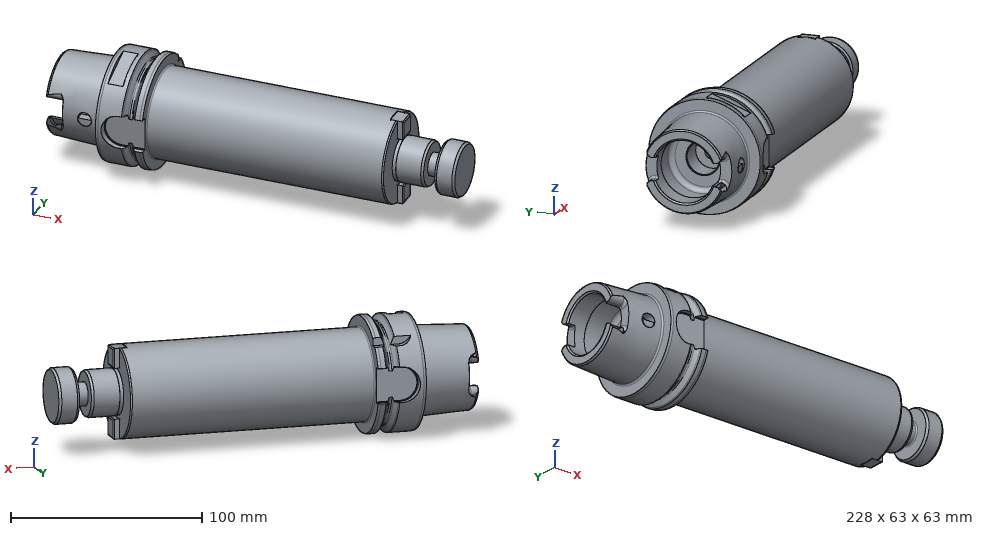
import cadquery as cq
import math

FLANGE_X = 32.0
FLANGE_END_X = 58.0
BODY_END_X = 192.0
PILOT_END_X = 209.5
HEAD_X = 216.5
TOTAL_LENGTH = 228.0

CLEARANCE = 2.3

SHANK_TIP_R = 45.5 / 2
SHANK_BASE_R = 48.5 / 2
SHANK_ROOT_FILLET = 1.0
TIP_CHAMFER_LENGTH = 1.1
TIP_CHAMFER_DEPTH = 0.7

FLANGE_R = 31.5
FLANGE_CHAMFER_LENGTH = 1.48
FLANGE_CHAMFER_DEPTH = 0.35
GROOVE_CENTER_X = 50.0
GROOVE_FLOOR_R = 27.4
GROOVE_FLOOR_WIDTH = 2.3
GROOVE_FLANK_ANGLE = 30.0
GROOVE_FLOOR_FILLET = 1.0
GROOVE_EDGE_CHAMFER = 0.57

BODY_R = 50.0 / 2
BODY_ROOT_FILLET = 0.7
BODY_CHAMFER_LENGTH = 1.0
BODY_CHAMFER_DEPTH = 0.35
PILOT_R = 25.3 / 2
PILOT_NECK_R = 24.9 / 2
PILOT_NECK_LENGTH = 2.0
PILOT_CHAMFER_LENGTH = 1.4
PILOT_CHAMFER_DEPTH = 0.7

LIP_R = 34.0 / 2
LIP_CHAMFER = 1.0
LIP_END_X = 12.3
CAVITY_R = 18.5
CAVITY_END_X = 29.6
CAVITY_FLOOR_FILLET = 3.0
SOCKET_R = 18.0 / 2
SOCKET_MOUTH_R = 19.0 / 2
SOCKET_END_X = 43.3
COOLANT_BORE_R = 8.0 / 2

SLOT_WIDTH = 12.5
SLOT_CORNER_R = 1.48
SLOT_MOUTH_R = 3.2
FRONT_SLOT_DEPTH = 10.0
BACK_SLOT_DEPTH = 5.7

ACCESS_HOLE_X = 22.8
ACCESS_HOLE_D = 8.0
ACCESS_SPOT_DISTANCE = 23.3

KEYWAY_FLOOR_Y = 26.5
KEYWAY_WIDTH = 18.0
KEYWAY_MOUTH_WIDTH = 19.0
KEYWAY_CENTER_X = 44.7

FLAT_X = 35.0
FLAT_LENGTH = 8.5
FLAT_CHORD = 23.3
FLAT_TILT = 21.6

NOTCH_WALL_Y = 20.3
NOTCH_FLOOR_Z = 19.8
NOTCH_RUNOUT_R = 8.0
NOTCH_RUNOUT_X = 44.2

KEY_X = 187.9
KEY_END_X = 195.5
KEY_WIDTH = 9.8
KEY_BOTTOM_Z = 13.7
KEY_TOP_Z = 24.5
KEY_CHAMFER = 0.7

SCREW_SHANK_R = 12.8 / 2
SCREW_TIP_X = 182.5
HEAD_R = 29.9 / 2
HEAD_CHAMFER_LENGTH = 1.4
HEAD_CHAMFER_DEPTH = 1.0
HEAD_ROOT_FILLET = 0.7


def revolve_about_x(outline):
    """Turn a closed XY outline a full turn about the X axis."""
    return outline.close().revolve(360, (0, 0, 0), (1, 0, 0))


def rod(radius, x_start, x_end):
    return cq.Workplane("YZ").workplane(offset=x_start).circle(radius).extrude(x_end - x_start)


def box_between(x_range, y_range, z_range):
    size = [high - low for low, high in (x_range, y_range, z_range)]
    corner = (x_range[0], y_range[0], z_range[0])
    return cq.Workplane("XY").box(*size, centered=False).translate(corner)


def turned_blank():
    """Solid of revolution: shank, flange, body and pilot."""
    root = SHANK_ROOT_FILLET
    return revolve_about_x(
        cq.Workplane("XY")
        .moveTo(0, 0)
        .lineTo(0, SHANK_TIP_R - TIP_CHAMFER_DEPTH)
        .lineTo(TIP_CHAMFER_LENGTH, SHANK_TIP_R)
        .lineTo(FLANGE_X - root, SHANK_BASE_R)
        .radiusArc((FLANGE_X, SHANK_BASE_R + root), -root)
        .lineTo(FLANGE_X, FLANGE_R - FLANGE_CHAMFER_DEPTH)
        .lineTo(FLANGE_X + FLANGE_CHAMFER_LENGTH, FLANGE_R)
        .lineTo(FLANGE_END_X - FLANGE_CHAMFER_LENGTH, FLANGE_R)
        .lineTo(FLANGE_END_X, FLANGE_R - FLANGE_CHAMFER_DEPTH)
        .lineTo(FLANGE_END_X, BODY_R + BODY_ROOT_FILLET)
        .radiusArc((FLANGE_END_X + BODY_ROOT_FILLET, BODY_R), -BODY_ROOT_FILLET)
        .lineTo(BODY_END_X - BODY_CHAMFER_LENGTH, BODY_R)
        .lineTo(BODY_END_X, BODY_R - BODY_CHAMFER_DEPTH)
        .lineTo(BODY_END_X, PILOT_NECK_R)
        .lineTo(BODY_END_X + PILOT_NECK_LENGTH, PILOT_NECK_R)
        .lineTo(BODY_END_X + PILOT_NECK_LENGTH, PILOT_R)
        .lineTo(PILOT_END_X - PILOT_CHAMFER_LENGTH, PILOT_R)
        .lineTo(PILOT_END_X, PILOT_R - PILOT_CHAMFER_DEPTH)
        .lineTo(PILOT_END_X, 0)
    )


def flange_groove():
    """V-groove ring with chamfered rims and filleted floor corners."""
    flank_angle = math.radians(GROOVE_FLANK_ANGLE)
    floor_half = GROOVE_FLOOR_WIDTH / 2
    rim_r = FLANGE_R - GROOVE_EDGE_CHAMFER
    rim_half = floor_half + (rim_r - GROOVE_FLOOR_R) * math.tan(flank_angle)
    top_half = rim_half + GROOVE_EDGE_CHAMFER

    tangent = GROOVE_FLOOR_FILLET * math.tan((math.pi / 2 - flank_angle) / 2)
    fillet_floor_half = floor_half - tangent
    fillet_flank_half = floor_half + tangent * math.sin(flank_angle)
    fillet_flank_r = GROOVE_FLOOR_R + tangent * math.cos(flank_angle)

    def point(offset, radius):
        return (GROOVE_CENTER_X + offset, radius)

    return revolve_about_x(
        cq.Workplane("XY")
        .moveTo(*point(-fillet_floor_half, GROOVE_FLOOR_R))
        .lineTo(*point(fillet_floor_half, GROOVE_FLOOR_R))
        .radiusArc(point(fillet_flank_half, fillet_flank_r), -GROOVE_FLOOR_FILLET)
        .lineTo(*point(rim_half, rim_r))
        .lineTo(*point(top_half, FLANGE_R))
        .lineTo(*point(-top_half, FLANGE_R))
        .lineTo(*point(-rim_half, rim_r))
        .lineTo(*point(-fillet_flank_half, fillet_flank_r))
        .radiusArc(point(-fillet_floor_half, GROOVE_FLOOR_R), -GROOVE_FLOOR_FILLET)
    )


def clamping_cavity():
    """Undercut cavity behind the shank lip, with the pipe socket in its floor."""
    fillet = CAVITY_FLOOR_FILLET
    return revolve_about_x(
        cq.Workplane("XY")
        .moveTo(0, 0)
        .lineTo(0, LIP_R + LIP_CHAMFER)
        .lineTo(LIP_CHAMFER, LIP_R)
        .lineTo(LIP_END_X, LIP_R)
        .lineTo(LIP_END_X, CAVITY_R)
        .lineTo(CAVITY_END_X - fillet, CAVITY_R)
        .radiusArc((CAVITY_END_X, CAVITY_R - fillet), fillet)
        .lineTo(CAVITY_END_X, SOCKET_MOUTH_R)
        .lineTo(CAVITY_END_X + SOCKET_MOUTH_R - SOCKET_R, SOCKET_R)
        .lineTo(SOCKET_END_X, SOCKET_R)
        .lineTo(SOCKET_END_X, 0)
    )


def drive_slot(depth, side):
    """Slot cutter with rounded mouths and corners; side is -1 for -Y and +1 for +Y.

    Each mouth round is tangent to the slot wall and to the shank surface, so its
    center lies one round radius inside both of them.
    """
    shank_r = SHANK_TIP_R + (SHANK_BASE_R - SHANK_TIP_R) * depth / FLANGE_X
    half = SLOT_WIDTH / 2
    center_z = half + SLOT_MOUTH_R
    center_radius = shank_r - SLOT_MOUTH_R
    center_y = math.sqrt(center_radius**2 - center_z**2)
    surface_angle = math.atan2(center_z, center_y)
    tangent_y = shank_r * math.cos(surface_angle)
    tangent_z = shank_r * math.sin(surface_angle)
    end_y = tangent_y - CLEARANCE * math.sin(surface_angle)
    end_z = tangent_z + CLEARANCE * math.cos(surface_angle)
    outer_y = shank_r + CLEARANCE
    cutter = (
        cq.Workplane("YZ", origin=(-CLEARANCE, 0, 0))
        .moveTo(0, -half)
        .lineTo(0, half)
        .lineTo(center_y, half)
        .radiusArc((tangent_y, tangent_z), -SLOT_MOUTH_R)
        .lineTo(end_y, end_z)
        .lineTo(outer_y, end_z)
        .lineTo(outer_y, -end_z)
        .lineTo(end_y, -end_z)
        .lineTo(tangent_y, -tangent_z)
        .radiusArc((center_y, -half), -SLOT_MOUTH_R)
        .close()
        .extrude(depth + CLEARANCE)
    )
    cutter = cutter.faces(">X").edges().fillet(SLOT_CORNER_R)
    return cutter if side > 0 else cutter.mirror("XZ")


def access_hole():
    """Half-round opening into the cavity, above a shallow spot-faced lower half."""
    plane = cq.Workplane("XZ", origin=(ACCESS_HOLE_X, 0, 0))
    opening = plane.circle(ACCESS_HOLE_D / 2).extrude(FLANGE_R)
    upper_half = box_between((0, FLANGE_X), (-FLANGE_R, 0), (0, ACCESS_HOLE_D))
    spot_plane = plane.workplane(offset=ACCESS_SPOT_DISTANCE)
    spot = spot_plane.circle(ACCESS_HOLE_D / 2).extrude(CLEARANCE)
    return opening.intersect(upper_half).union(spot)


def keyway(side):
    """Round-ended keyway with a slightly wider stepped mouth, open toward the body."""
    step = (KEYWAY_MOUTH_WIDTH - KEYWAY_WIDTH) / 2

    def pocket(width, floor_y):
        depth = FLANGE_R + CLEARANCE - floor_y
        plane = cq.Workplane("XZ", origin=(KEYWAY_CENTER_X, floor_y, 0))
        disc = plane.circle(width / 2).extrude(-depth)
        length = FLANGE_END_X - KEYWAY_CENTER_X
        channel = plane.center(length / 2, 0).rect(length, width).extrude(-depth)
        return disc.union(channel)

    cutter = pocket(KEYWAY_WIDTH, KEYWAY_FLOOR_Y).union(
        pocket(KEYWAY_MOUTH_WIDTH, KEYWAY_FLOOR_Y + step)
    )
    return cutter if side > 0 else cutter.mirror("XZ")


def label_flat():
    """Flat cut along a chord of the flange, tilted toward -Y."""
    chord_height = math.sqrt(FLANGE_R**2 - (FLAT_CHORD / 2) ** 2)
    cutter = box_between(
        (FLAT_X, FLAT_X + FLAT_LENGTH),
        (-FLAT_CHORD, FLAT_CHORD),
        (chord_height, FLANGE_R + CLEARANCE),
    )
    return cutter.rotate((0, 0, 0), (1, 0, 0), FLAT_TILT)


def orientation_notch():
    """Step notch with an upright wall, a level floor and a curved run-out."""
    top_z = NOTCH_FLOOR_Z + NOTCH_RUNOUT_R
    return (
        cq.Workplane("XZ", origin=(0, NOTCH_WALL_Y, 0))
        .moveTo(NOTCH_RUNOUT_X - NOTCH_RUNOUT_R, top_z)
        .radiusArc((NOTCH_RUNOUT_X, NOTCH_FLOOR_Z), -NOTCH_RUNOUT_R)
        .lineTo(FLANGE_END_X, NOTCH_FLOOR_Z)
        .lineTo(FLANGE_END_X, top_z)
        .close()
        .extrude(-FLANGE_R)
    )


def make_key(side):
    """Chamfered drive key; side is +1 for +Z and -1 for -Z."""
    key = box_between(
        (KEY_X, KEY_END_X),
        (-KEY_WIDTH / 2, KEY_WIDTH / 2),
        (KEY_BOTTOM_Z, KEY_TOP_Z),
    )
    key = key.faces(">X").edges().chamfer(KEY_CHAMFER)
    return key if side > 0 else key.mirror("XY")


def key_seat(side):
    seat = box_between(
        (KEY_X, KEY_END_X),
        (-KEY_WIDTH / 2, KEY_WIDTH / 2),
        (KEY_BOTTOM_Z, BODY_R + CLEARANCE),
    )
    return seat if side > 0 else seat.mirror("XY")


def make_arbor():
    arbor = turned_blank().cut(flange_groove()).cut(clamping_cavity())
    arbor = arbor.cut(drive_slot(FRONT_SLOT_DEPTH, -1)).cut(drive_slot(BACK_SLOT_DEPTH, 1))
    arbor = arbor.cut(access_hole()).cut(label_flat()).cut(orientation_notch())
    for side in (-1, 1):
        arbor = arbor.cut(keyway(side)).cut(key_seat(side))
    arbor = arbor.cut(rod(COOLANT_BORE_R, SOCKET_END_X, SCREW_TIP_X))
    return arbor.cut(rod(SCREW_SHANK_R, SCREW_TIP_X, PILOT_END_X))


def make_screw():
    """Clamping screw with a chamfered round head."""
    neck = HEAD_ROOT_FILLET
    return revolve_about_x(
        cq.Workplane("XY")
        .moveTo(SCREW_TIP_X, 0)
        .lineTo(SCREW_TIP_X, SCREW_SHANK_R)
        .lineTo(HEAD_X - neck, SCREW_SHANK_R)
        .radiusArc((HEAD_X, SCREW_SHANK_R + neck), -neck)
        .lineTo(HEAD_X, HEAD_R - HEAD_CHAMFER_DEPTH)
        .lineTo(HEAD_X + HEAD_CHAMFER_LENGTH, HEAD_R)
        .lineTo(TOTAL_LENGTH - HEAD_CHAMFER_LENGTH, HEAD_R)
        .lineTo(TOTAL_LENGTH, HEAD_R - HEAD_CHAMFER_DEPTH)
        .lineTo(TOTAL_LENGTH, 0)
    )


arbor = make_arbor()
screw = make_screw()
keys = [make_key(side) for side in (-1, 1)]

result = cq.Compound.makeCompound([arbor.val(), screw.val(), *[key.val() for key in keys]])